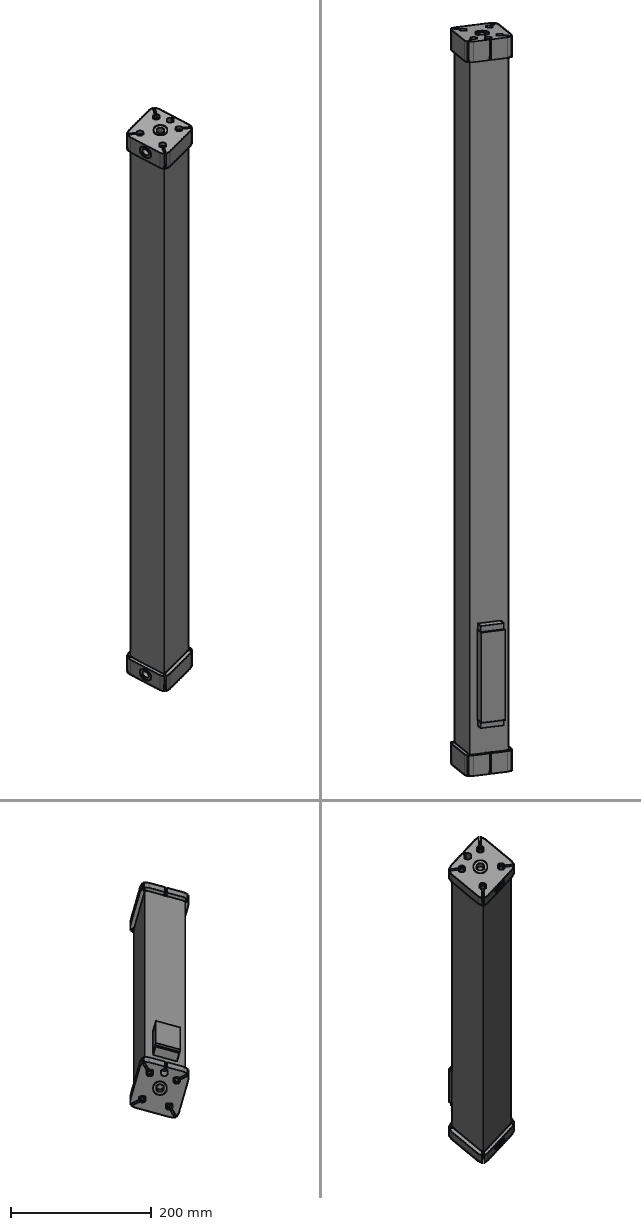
import cadquery as cq
import math

total_length = 1100.0
barrel_width = 59.0
cap_width = 72.0
cap_depth = 69.0
cap_height = 31.0

bevel_start = 10.0
bevel_angle = 12.0

screw_spacing = 40.0
counterbore_diameter = 10.0
counterbore_depth = 7.0
screw_hole_diameter = 6.0
screw_hole_depth = 22.0
slit_width = 2.8

band_hole_diameter = 10.0
band_hole_inset = 9.0

port_diameter = 11.0
port_depth = 15.0
port_seat_diameter = 20.0
port_seat_depth = 1.0
end_port_y = 2.0

overall_depth = 80.0
carriage_width = 36.0
carriage_block_length = 135.0
carriage_end_width = 35.0
carriage_end_length = 9.0
carriage_end_drop = 3.0
carriage_z = -400.0

half_length = total_length / 2
half_cap_width = cap_width / 2
half_cap_depth = cap_depth / 2
bevel_slope = math.tan(math.radians(bevel_angle))
corner_setback = bevel_start * bevel_slope / (1 + bevel_slope)
carriage_height = overall_depth - half_cap_depth - barrel_width / 2
corner_signs = [(1, 1), (-1, 1), (-1, -1), (1, -1)]


def end_face(x, y):
    """Workplane on the +Z end of the cylinder, centred at x, y."""
    return cq.Workplane("XY", origin=(x, y, half_length))


def cap_blank():
    """Upper cap without holes: a rectangle with three points at each bevelled corner."""
    outline = []
    for sx, sy in corner_signs:
        corner = [
            (sx * half_cap_width, sy * (half_cap_depth - bevel_start)),
            (sx * (half_cap_width - corner_setback), sy * (half_cap_depth - corner_setback)),
            (sx * (half_cap_width - bevel_start), sy * half_cap_depth),
        ]
        outline += corner if sx * sy > 0 else corner[::-1]
    return end_face(0, 0).polyline(outline).close().extrude(-cap_height)


def slit(start, end):
    """Straight slit through the full cap height from one point to another."""
    dx = end[0] - start[0]
    dy = end[1] - start[1]
    length = math.hypot(dx, dy)
    angle = math.degrees(math.atan2(dy, dx))
    return (
        end_face(*start)
        .transformed(rotate=(0, 0, angle))
        .center(length / 2, 0)
        .rect(length, slit_width)
        .extrude(-cap_height)
    )


def slit_screw_hole(sx, sy):
    center = (sx * screw_spacing / 2, sy * screw_spacing / 2)
    corner = (sx * half_cap_width, sy * half_cap_depth)
    counterbore = end_face(*center).circle(counterbore_diameter / 2).extrude(-counterbore_depth)
    hole = end_face(*center).circle(screw_hole_diameter / 2).extrude(-screw_hole_depth)
    return hole.union(counterbore).union(slit(center, corner))


def slit_band_hole():
    center = (0, half_cap_depth - band_hole_inset)
    hole = end_face(*center).circle(band_hole_diameter / 2).extrude(-cap_height)
    return hole.union(slit(center, (0, half_cap_depth)))


def port(face):
    """Air port sunk into the given outward-facing workplane."""
    seat = face.circle(port_seat_diameter / 2).extrude(-port_seat_depth)
    bore = face.circle(port_diameter / 2).extrude(-port_depth)
    return seat.union(bore)


def make_upper_cap():
    cap = cap_blank()
    for sx, sy in corner_signs:
        cap = cap.cut(slit_screw_hole(sx, sy))
    cap = cap.cut(slit_band_hole())
    cap = cap.cut(port(end_face(0, end_port_y)))
    front_face = cq.Workplane("XZ", origin=(0, -half_cap_depth, half_length - cap_height / 2))
    return cap.cut(port(front_face))


def make_cylinder():
    barrel_length = total_length - 2 * cap_height
    barrel = cq.Workplane("XY").box(barrel_width, barrel_width, barrel_length)
    upper_cap = make_upper_cap()
    lower_cap = upper_cap.mirror("XY")
    return barrel.union(upper_cap).union(lower_cap)


def carriage_box(width, height, length):
    """Box resting on the +Y side of the barrel, centred on the carriage."""
    base = cq.Workplane("XY", origin=(0, barrel_width / 2, carriage_z))
    return base.box(width, height, length, centered=(True, False, True))


def make_carriage():
    block = carriage_box(carriage_width, carriage_height, carriage_block_length)
    end_plates = carriage_box(
        carriage_end_width,
        carriage_height - carriage_end_drop,
        carriage_block_length + 2 * carriage_end_length,
    )
    return block.union(end_plates)


cylinder = make_cylinder()
carriage = make_carriage()

result = cq.Compound.makeCompound([cylinder.solids().val(), carriage.solids().val()])